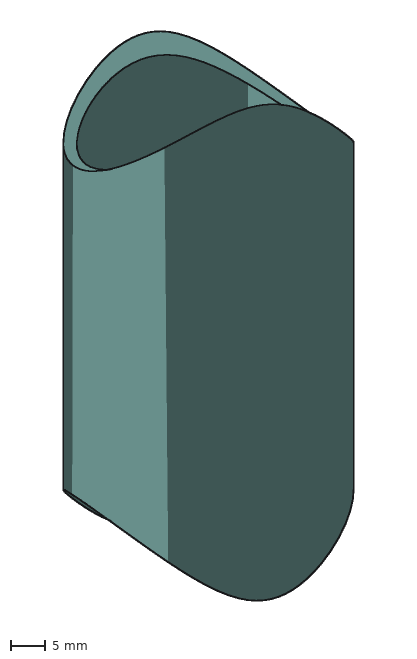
import cadquery as cq
import math

tube_length = 75.2
outer_diameter = 42.4
inner_diameter = 38.4
mating_pipe_radius = 24.1

outer_radius = outer_diameter / 2
pipe_axis_height = tube_length / 2 + math.sqrt(mating_pipe_radius**2 - outer_radius**2)
pipe_cut_length = 2 * outer_diameter


def straight_tube():
    """Plain tube along Z, centred on the origin."""
    return (
        cq.Workplane("XY", origin=(0, 0, -tube_length / 2))
        .circle(outer_radius)
        .circle(inner_diameter / 2)
        .extrude(tube_length)
    )


def mating_pipe(axis_height):
    """Solid cylinder along Y whose axis crosses the tube axis."""
    return (
        cq.Workplane("XZ", origin=(0, 0, axis_height))
        .circle(mating_pipe_radius)
        .extrude(pipe_cut_length / 2, both=True)
    )


result = straight_tube()
for end in (-1, 1):
    result = result.cut(mating_pipe(end * pipe_axis_height))